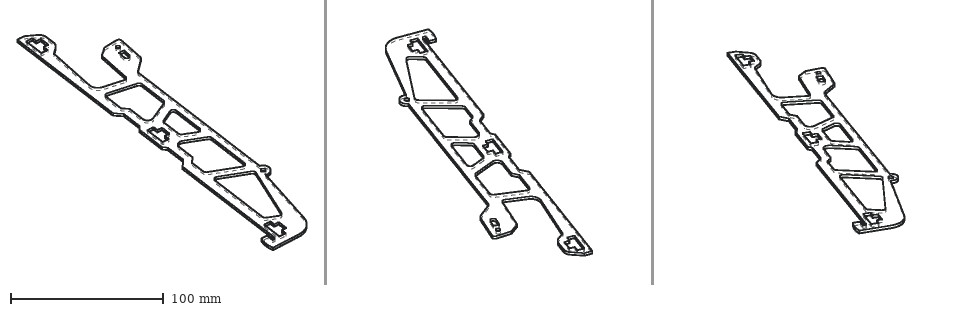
import cadquery as cq
import math


THICKNESS = 2.13
LENGTH = 272.5
HEIGHT = 60.61
HOOK_BOTTOM = -8.4

TOP_RAIL_TOP = 39.5
WINDOW_TOP = 33.8
WINDOW_BOTTOM = 7.4
WINDOW_RADIUS = 2.5

MIDDLE_X = 134.3
RAISED_BOTTOM = 5.0
RAISED_WINDOW_BOTTOM = 11.3
PAD_BOTTOM = 2.5
RAISED_HALF = 30.7
PAD_HALF = 11.9
WINDOW_STEP_HALF = 32.4
WINDOW_STEP_RISE = RAISED_WINDOW_BOTTOM - WINDOW_BOTTOM

ARM_TOP = 16.4
ARM_FLAT_LEFT = 6.4
ARM_FLAT_RIGHT = 20.4
ARM_SIDE_TOP = 5.8
ARM_RADIUS = 6.0
ARM_RAMP_END = (26.2, 9.35)
GAP_BOTTOM_RIGHT = (72.0, 6.15)
GAP_TOP_RIGHT = (77.2, 30.1)
GAP_BOTTOM_RADIUS = 7.0
GAP_TOP_RADIUS = 2.0

HEAD_TILT = 4.0
HEAD_RADIUS = 2.0
HEAD_SLOPE = math.tan(math.radians(HEAD_TILT))
HEAD_CORNER_EXTRA = HEAD_RADIUS * (math.sin(math.radians(HEAD_TILT)) + math.cos(math.radians(HEAD_TILT)) - 1)
HEAD_LEFT = 41.45
HEAD_RIGHT = 66.0
HEAD_TOP = HEIGHT + HOOK_BOTTOM + HEAD_CORNER_EXTRA
HEAD_TOP_LEFT = (HEAD_LEFT, HEAD_TOP)
HEAD_TOP_RIGHT = (HEAD_RIGHT, HEAD_TOP - (HEAD_RIGHT - HEAD_LEFT) * HEAD_SLOPE)
HEAD_RAMP_END = (75.9, TOP_RAIL_TOP)
HEAD_SIDE_BOTTOM = 38.8
HEAD_LOWER_LEFT = (HEAD_LEFT + (HEAD_TOP - HEAD_SIDE_BOTTOM) * HEAD_SLOPE, HEAD_SIDE_BOTTOM)
HEAD_BOTTOM_LEFT = (47.9, 32.1)
HEAD_HOLE_CENTER = (47.6, 46.05)
HEAD_HOLE_DIAMETER = 2.9
HEAD_SLOT_START = (52.8, 44.8)
HEAD_SLOT_LENGTH = 7.9
HEAD_SLOT_WIDTH = 4.2

LUG_CENTER = (206.35, 38.45)
LUG_RADIUS = 5.0
LUG_HOLE_DIAMETER = 3.3

SLOPE_ANGLE = 10.0
SHOULDER_HEIGHT = 25.85
SHOULDER_RADIUS = 13.2
SLOPE_RUN = LENGTH - LUG_CENTER[0]
SLOPE_START = (LUG_CENTER[0], SHOULDER_HEIGHT + SLOPE_RUN * math.tan(math.radians(SLOPE_ANGLE)))
HOOK_LEFT = 260.2
HOOK_TOP = -2.6
HOOK_GAP_END = 266.0
HOOK_GAP_RADIUS = 1.2
HOOK_TIP_BULGE = 0.9
HOOK_TIP_BASE = HOOK_BOTTOM + HOOK_TIP_BULGE

T_BAR_WIDTH = 15.7
T_BAR_HEIGHT = 5.2
T_STEM_WIDTH = 7.7
T_HEIGHT = 9.0
T_POSITIONS = [(12.9, 3.4), (MIDDLE_X, 6.2), (258.2, 3.2)]

LEG_TOP = 85.3
LEG_BOTTOM = 79.55
STRUT_TOP_HALF = 23.3
STRUT_BOTTOM_HALF = 12.4
CENTER_WINDOW_X = 134.6
CENTER_WINDOW_BOTTOM = 19.7
CENTER_WINDOW_TOP_HALF = 15.9
CENTER_WINDOW_BOTTOM_HALF = 8.7
STRUT_FOOT_RADIUS = 4.0
RIGHT_STRUT_TOP = 196.5
RIGHT_STRUT_BOTTOM = 183.85
RIGHT_WINDOW_TOP_LEFT = 203.5
RIGHT_WINDOW_BOTTOM_LEFT = 190.85
RIGHT_WINDOW_BOTTOM_RIGHT = 244.8
RIGHT_WINDOW_SHOULDER = (250.6, 18.9)


def rounded_plate(corners):
    """Extrude a closed outline of (x, y, radius) corners; a zero radius leaves a corner sharp."""
    path = []
    for index, (x, y, radius) in enumerate(corners):
        before = cq.Vector(*corners[index - 1][:2])
        after = cq.Vector(*corners[(index + 1) % len(corners)][:2])
        corner = cq.Vector(x, y)
        to_before = (before - corner).normalized()
        to_after = (after - corner).normalized()
        if radius == 0:
            path.append((corner, corner, corner))
            continue
        half_angle = to_before.getAngle(to_after) / 2
        setback = radius / math.tan(half_angle)
        depth = radius / math.sin(half_angle) - radius
        bisector = (to_before + to_after).normalized()
        path.append((corner + to_before * setback, corner + bisector * depth, corner + to_after * setback))

    sketch = cq.Workplane("XY").moveTo(*path[0][2].toTuple()[:2])
    for start, middle, end in path[1:] + path[:1]:
        sketch = sketch.lineTo(start.x, start.y)
        if start != end:
            sketch = sketch.threePointArc((middle.x, middle.y), (end.x, end.y))
    return sketch.close().extrude(THICKNESS)


def outer_body():
    """Outline of the plate without the lug and the hook tip; the rail ramps run at 45 degrees."""
    raised_foot = RAISED_HALF + RAISED_BOTTOM
    pad_top = PAD_HALF + RAISED_BOTTOM - PAD_BOTTOM
    return rounded_plate([
        (0, 0, 0),
        (MIDDLE_X - raised_foot, 0, 0),
        (MIDDLE_X - RAISED_HALF, RAISED_BOTTOM, 0),
        (MIDDLE_X - pad_top, RAISED_BOTTOM, 0),
        (MIDDLE_X - PAD_HALF, PAD_BOTTOM, 0),
        (MIDDLE_X + PAD_HALF, PAD_BOTTOM, 0),
        (MIDDLE_X + pad_top, RAISED_BOTTOM, 0),
        (MIDDLE_X + RAISED_HALF, RAISED_BOTTOM, 0),
        (MIDDLE_X + raised_foot, 0, 0),
        (HOOK_GAP_END, 0, HOOK_GAP_RADIUS),
        (HOOK_GAP_END, HOOK_TOP, 0),
        (HOOK_LEFT, HOOK_TOP, 0),
        (HOOK_LEFT, HOOK_TIP_BASE, 0),
        (LENGTH, HOOK_TIP_BASE, 0),
        (LENGTH, SHOULDER_HEIGHT, SHOULDER_RADIUS),
        (*SLOPE_START, 0),
        (LUG_CENTER[0], TOP_RAIL_TOP, 0),
        (*HEAD_RAMP_END, HEAD_RADIUS),
        (*HEAD_TOP_RIGHT, HEAD_RADIUS),
        (*HEAD_TOP_LEFT, HEAD_RADIUS),
        (*HEAD_LOWER_LEFT, 0),
        (*HEAD_BOTTOM_LEFT, 0),
        (*GAP_TOP_RIGHT, GAP_TOP_RADIUS),
        (*GAP_BOTTOM_RIGHT, GAP_BOTTOM_RADIUS),
        (*ARM_RAMP_END, 0),
        (ARM_FLAT_RIGHT, ARM_TOP, ARM_RADIUS),
        (ARM_FLAT_LEFT, ARM_TOP, ARM_RADIUS),
        (0, ARM_SIDE_TOP, 0),
    ])


def lug():
    return cq.Workplane("XY").center(*LUG_CENTER).circle(LUG_RADIUS).extrude(THICKNESS)


def hook_tip():
    """Shallow arc that rounds out the lower edge of the hook."""
    return (
        cq.Workplane("XY")
        .moveTo(HOOK_LEFT, HOOK_TIP_BASE)
        .threePointArc(((HOOK_LEFT + LENGTH) / 2, HOOK_BOTTOM), (LENGTH, HOOK_TIP_BASE))
        .close()
        .extrude(THICKNESS)
    )


def round_hole(center, diameter):
    return cq.Workplane("XY").center(*center).circle(diameter / 2).extrude(THICKNESS)


def head_slot():
    """Slot along the tilted head, flat at its left end and round at its right end."""
    half = HEAD_SLOT_WIDTH / 2
    straight = HEAD_SLOT_LENGTH - half
    slot = (
        cq.Workplane("XY")
        .moveTo(0, -half)
        .lineTo(straight, -half)
        .threePointArc((HEAD_SLOT_LENGTH, 0), (straight, half))
        .lineTo(0, half)
        .close()
        .extrude(THICKNESS)
    )
    return slot.rotate((0, 0, 0), (0, 0, 1), -HEAD_TILT).translate((*HEAD_SLOT_START, 0))


def t_opening(center_x, bottom):
    bar = cq.Workplane("XY").box(T_BAR_WIDTH, T_BAR_HEIGHT, THICKNESS, centered=(True, False, False))
    stem = cq.Workplane("XY").box(T_STEM_WIDTH, T_HEIGHT, THICKNESS, centered=(True, False, False))
    return bar.union(stem).translate((center_x, bottom, 0))


def stepped_window(side, end_bottom, end_top):
    """Window beside the middle (side -1 left, +1 right) with a step up over the raised rail."""
    return rounded_plate([
        (*end_bottom, WINDOW_RADIUS),
        (MIDDLE_X + side * (WINDOW_STEP_HALF + WINDOW_STEP_RISE), WINDOW_BOTTOM, 0),
        (MIDDLE_X + side * WINDOW_STEP_HALF, RAISED_WINDOW_BOTTOM, 0),
        (MIDDLE_X + side * STRUT_BOTTOM_HALF, RAISED_WINDOW_BOTTOM, STRUT_FOOT_RADIUS),
        (MIDDLE_X + side * STRUT_TOP_HALF, WINDOW_TOP, WINDOW_RADIUS),
        (*end_top, WINDOW_RADIUS),
    ])


def center_window():
    return rounded_plate([
        (CENTER_WINDOW_X - CENTER_WINDOW_BOTTOM_HALF, CENTER_WINDOW_BOTTOM, WINDOW_RADIUS),
        (CENTER_WINDOW_X + CENTER_WINDOW_BOTTOM_HALF, CENTER_WINDOW_BOTTOM, WINDOW_RADIUS),
        (CENTER_WINDOW_X + CENTER_WINDOW_TOP_HALF, WINDOW_TOP, WINDOW_RADIUS),
        (CENTER_WINDOW_X - CENTER_WINDOW_TOP_HALF, WINDOW_TOP, WINDOW_RADIUS),
    ])


def right_window():
    return rounded_plate([
        (RIGHT_WINDOW_BOTTOM_LEFT, WINDOW_BOTTOM, WINDOW_RADIUS),
        (RIGHT_WINDOW_BOTTOM_RIGHT, WINDOW_BOTTOM, WINDOW_RADIUS),
        (*RIGHT_WINDOW_SHOULDER, WINDOW_RADIUS),
        (RIGHT_WINDOW_TOP_LEFT, WINDOW_TOP, WINDOW_RADIUS),
    ])


result = outer_body().union(lug()).union(hook_tip())
openings = [
    round_hole(LUG_CENTER, LUG_HOLE_DIAMETER),
    round_hole(HEAD_HOLE_CENTER, HEAD_HOLE_DIAMETER),
    head_slot(),
    stepped_window(-1, (LEG_BOTTOM, WINDOW_BOTTOM), (LEG_TOP, WINDOW_TOP)),
    center_window(),
    stepped_window(1, (RIGHT_STRUT_BOTTOM, WINDOW_BOTTOM), (RIGHT_STRUT_TOP, WINDOW_TOP)),
    right_window(),
]
openings += [t_opening(center_x, bottom) for center_x, bottom in T_POSITIONS]
for opening in openings:
    result = result.cut(opening)